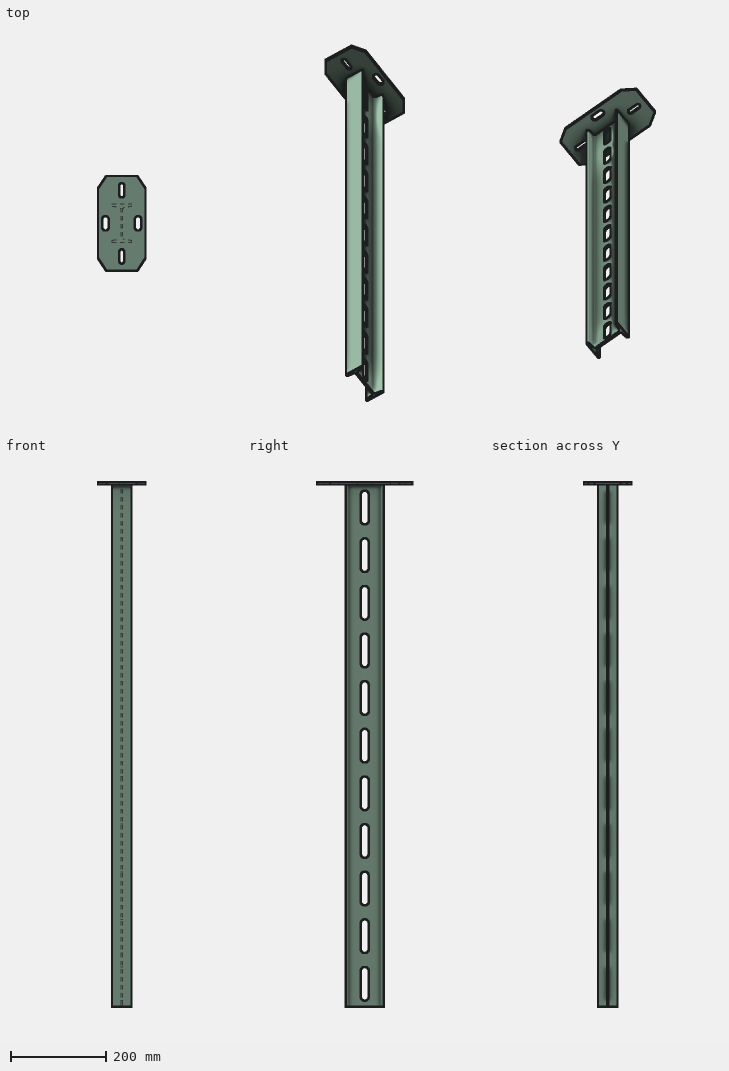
import cadquery as cq

TOTAL_HEIGHT = 1102.0

PLATE_WIDTH = 100.0
PLATE_LENGTH = 200.0
PLATE_THICKNESS = 6.0
CORNER_CUT_X = 18.0
CORNER_CUT_Y = 26.0
PLATE_SLOT_LENGTH = 30.0
END_SLOT_WIDTH = 10.0
SIDE_SLOT_WIDTH = 13.0
END_SLOT_OFFSET = 70.0
SIDE_SLOT_OFFSET = 34.0

FLANGE_WIDTH = 42.0
BEAM_HEIGHT = 80.0
WEB_THICKNESS = 3.9
FLANGE_THICKNESS = 5.8
FLANGE_SLOPE = 0.14
ROOT_RADIUS = 3.9
TIP_RADIUS = 2.3

SLOT_COUNT = 11
BOTTOM_SLOT_HEIGHT = 49.0
TOP_SLOT_HEIGHT = 1048.0
SLOT_LENGTH = 71.0
SLOT_WIDTH = 17.0

post_height = TOTAL_HEIGHT - PLATE_THICKNESS
slot_pitch = (TOP_SLOT_HEIGHT - BOTTOM_SLOT_HEIGHT) / (SLOT_COUNT - 1)
half_width = FLANGE_WIDTH / 2
half_web = WEB_THICKNESS / 2
half_beam = BEAM_HEIGHT / 2


def plate_slots(centers, width):
    """Slots through the plate, long side along Y."""
    return (
        cq.Workplane("XY", origin=(0, 0, post_height))
        .pushPoints(centers)
        .slot2D(PLATE_SLOT_LENGTH, width, 90)
        .extrude(PLATE_THICKNESS)
    )


def make_plate():
    """Head plate with four cut corners and four fixing slots."""
    half_x = PLATE_WIDTH / 2
    half_y = PLATE_LENGTH / 2
    flat_x = half_x - CORNER_CUT_X
    flat_y = half_y - CORNER_CUT_Y
    outline = [
        (flat_x, half_y), (half_x, flat_y), (half_x, -flat_y), (flat_x, -half_y),
        (-flat_x, -half_y), (-half_x, -flat_y), (-half_x, flat_y), (-flat_x, half_y),
    ]
    blank = (
        cq.Workplane("XY", origin=(0, 0, post_height))
        .polyline(outline)
        .close()
        .extrude(PLATE_THICKNESS)
    )
    end_slots = plate_slots([(0, -END_SLOT_OFFSET), (0, END_SLOT_OFFSET)], END_SLOT_WIDTH)
    side_slots = plate_slots([(-SIDE_SLOT_OFFSET, 0), (SIDE_SLOT_OFFSET, 0)], SIDE_SLOT_WIDTH)
    return blank.cut(end_slots).cut(side_slots)


def inner_face_y(x):
    """Y of the sloped inner flange face at distance x from the web centre."""
    thickness = FLANGE_THICKNESS + FLANGE_SLOPE * (half_width / 2 - x)
    return half_beam - thickness


def make_beam():
    """I-section with tapered flanges, rounded roots and rounded inner tips."""
    tip_y = inner_face_y(half_width)
    root_y = inner_face_y(half_web)
    outline = [
        (-half_width, half_beam), (half_width, half_beam),
        (half_width, tip_y), (half_web, root_y), (half_web, -root_y), (half_width, -tip_y),
        (half_width, -half_beam), (-half_width, -half_beam),
        (-half_width, -tip_y), (-half_web, -root_y), (-half_web, root_y), (-half_width, tip_y),
    ]
    beam = cq.Workplane("XY").polyline(outline).close().extrude(post_height)
    root_zone = cq.selectors.BoxSelector(
        (-half_width / 2, -half_beam, 0), (half_width / 2, half_beam, post_height)
    )
    inner_half = half_beam - TIP_RADIUS
    tip_zone = cq.selectors.BoxSelector(
        (-FLANGE_WIDTH, -inner_half, 0), (FLANGE_WIDTH, inner_half, post_height)
    )
    beam = beam.edges("|Z").edges(root_zone).fillet(ROOT_RADIUS)
    return beam.edges("|Z").edges(tip_zone).edges("<X or >X").fillet(TIP_RADIUS)


def make_post():
    """Beam with one row of slots through its web."""
    slots = (
        cq.Workplane("YZ", origin=(-half_width, 0, 0))
        .pushPoints([(0, BOTTOM_SLOT_HEIGHT + i * slot_pitch) for i in range(SLOT_COUNT)])
        .slot2D(SLOT_LENGTH, SLOT_WIDTH, 90)
        .extrude(FLANGE_WIDTH)
    )
    return make_beam().cut(slots)


plate = make_plate()
post = make_post()

result = cq.Compound.makeCompound([plate.val(), post.val()])